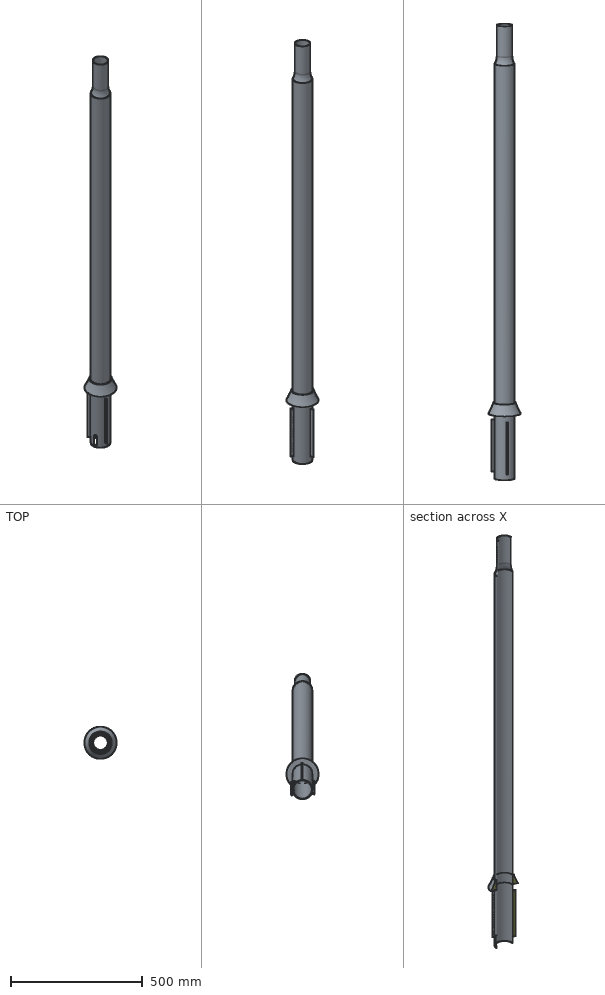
import math

import cadquery as cq

post_height = 1750.0
post_radius = 38.0
spigot_radius = 30.0
wall = 2.9
spigot_length = 118.0
flare_length = 32.0
spigot_bottom = post_height - spigot_length
flare_bottom = spigot_bottom - flare_length

slot_width = 12.0
slot_bottom = 7.0
slot_top = 54.0

collar_bottom = 251.0
collar_height = 42.0
collar_radius = 122.97 / 2
collar_top_radius = 43.0
collar_hollow = 1.0
collar_top = collar_bottom + collar_height

rib_count = 3
rib_first_angle = 90.0
rib_thickness = 5.0
rib_reach = 51.0
rib_bottom = 25.0
rib_length = 200.0

flare_widening = post_radius - spigot_radius
flare_arc_radius = (flare_length**2 + flare_widening**2) / (2 * flare_widening)
flare_mid_drop = flare_length / 2
flare_mid_widening = flare_arc_radius - math.sqrt(flare_arc_radius**2 - flare_mid_drop**2)


def flare_mid(top_radius):
    return (top_radius + flare_mid_widening, spigot_bottom - flare_mid_drop)


def make_post():
    post_bore = post_radius - wall
    spigot_bore = spigot_radius - wall
    tube = (
        cq.Workplane("XZ")
        .moveTo(post_bore, 0)
        .lineTo(post_radius, 0)
        .lineTo(post_radius, flare_bottom)
        .threePointArc(flare_mid(spigot_radius), (spigot_radius, spigot_bottom))
        .lineTo(spigot_radius, post_height)
        .lineTo(spigot_bore, post_height)
        .lineTo(spigot_bore, spigot_bottom)
        .threePointArc(flare_mid(spigot_bore), (post_bore, flare_bottom))
        .close()
        .revolve(360, (0, 0, 0), (0, 1, 0))
    )
    slot = (
        cq.Workplane("XZ")
        .center(0, (slot_bottom + slot_top) / 2)
        .slot2D(slot_top - slot_bottom, slot_width, 90)
        .extrude(2 * post_radius)
    )
    return tube.cut(slot)


def make_collar():
    flank_mid_radius = (collar_radius + collar_top_radius) / 2 - collar_hollow
    flank_mid = (flank_mid_radius, collar_bottom + collar_height / 2)
    return (
        cq.Workplane("XZ")
        .moveTo(post_radius, collar_bottom)
        .lineTo(collar_radius, collar_bottom)
        .threePointArc(flank_mid, (collar_top_radius, collar_top))
        .lineTo(post_radius, collar_top)
        .close()
        .revolve(360, (0, 0, 0), (0, 1, 0))
    )


def make_rib(angle):
    base = cq.Workplane("XY", origin=(0, 0, rib_bottom))
    plate = base.center(rib_reach / 2, 0).rect(rib_reach, rib_thickness).extrude(rib_length)
    post_core = base.circle(post_radius).extrude(rib_length)
    return plate.cut(post_core).rotate((0, 0, 0), (0, 0, 1), angle)


post = make_post()
collar = make_collar()
ribs = [make_rib(rib_first_angle + i * 360 / rib_count) for i in range(rib_count)]

result = cq.Compound.makeCompound([post.val(), collar.val(), *[rib.val() for rib in ribs]])